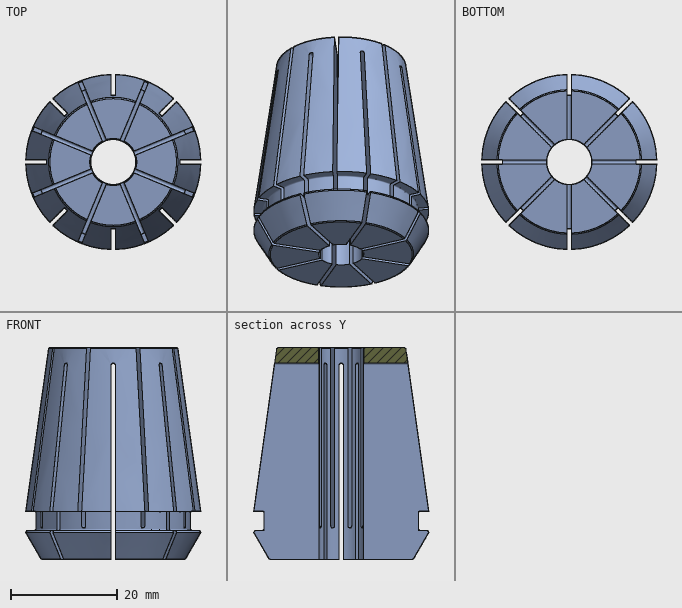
import cadquery as cq
import math

height = 40.0
max_diameter = 33.0
max_radius = max_diameter / 2
bore_radius = 4.25
bore_chamfer = 0.2

taper_angle = 8.0
taper_base_z = 9.1
top_chamfer = 0.25

neck_radius = 14.6
neck_fillet = 0.2
flange_top_z = 5.5
flange_edge_z = 5.1
flange_edge_chamfer = 0.25
flange_angle = 30.0
bottom_chamfer = 0.15

slots_per_set = 8
slot_width = 0.8
lower_slot_end_z = 37.0
upper_slot_end_z = 6.0
slot_overrun = 2.0

slot_pitch = 360.0 / slots_per_set


def taper_radius(z):
    """Outer radius of the clamping taper at height z."""
    return max_radius - (z - taper_base_z) * math.tan(math.radians(taper_angle))


def flange_radius(z):
    """Outer radius of the flange cone at height z."""
    return max_radius - (flange_edge_z - z) * math.tan(math.radians(flange_angle))


def collet_body():
    """Collet without slots, revolved from its half section."""
    chamfer_base_z = height - top_chamfer
    fillet_radius = neck_radius + neck_fillet
    return (
        cq.Workplane("XZ")
        .moveTo(bore_radius, 0)
        .lineTo(flange_radius(0) - bottom_chamfer, 0)
        .lineTo(flange_radius(bottom_chamfer), bottom_chamfer)
        .lineTo(max_radius, flange_edge_z)
        .lineTo(max_radius - flange_edge_chamfer, flange_top_z)
        .lineTo(fillet_radius, flange_top_z)
        .tangentArcPoint((neck_radius, flange_top_z + neck_fillet), relative=False)
        .lineTo(neck_radius, taper_base_z - neck_fillet)
        .tangentArcPoint((fillet_radius, taper_base_z), relative=False)
        .lineTo(max_radius, taper_base_z)
        .lineTo(taper_radius(chamfer_base_z), chamfer_base_z)
        .lineTo(taper_radius(height) - top_chamfer, height)
        .lineTo(bore_radius + bore_chamfer, height)
        .lineTo(bore_radius, height - bore_chamfer)
        .close()
        .revolve(360, (0, 0, 0), (0, 1, 0))
    )


def radial_slot(round_end_z, open_end_z, angle):
    """Cutter running from the axis outwards, round at one end and open at the other."""
    length = max_radius + slot_overrun
    half_width = slot_width / 2
    towards_open = math.copysign(1, open_end_z - round_end_z)
    arc_start_z = round_end_z + towards_open * half_width
    cutter = (
        cq.Workplane("YZ")
        .moveTo(-half_width, open_end_z)
        .lineTo(-half_width, arc_start_z)
        .threePointArc((0, round_end_z), (half_width, arc_start_z))
        .lineTo(half_width, open_end_z)
        .close()
        .extrude(length)
    )
    return cutter.rotate((0, 0, 0), (0, 0, 1), angle)


result = collet_body()
for index in range(slots_per_set):
    lower_angle = index * slot_pitch
    upper_angle = lower_angle + slot_pitch / 2
    result = result.cut(radial_slot(lower_slot_end_z, -slot_overrun, lower_angle))
    result = result.cut(radial_slot(upper_slot_end_z, height + slot_overrun, upper_angle))